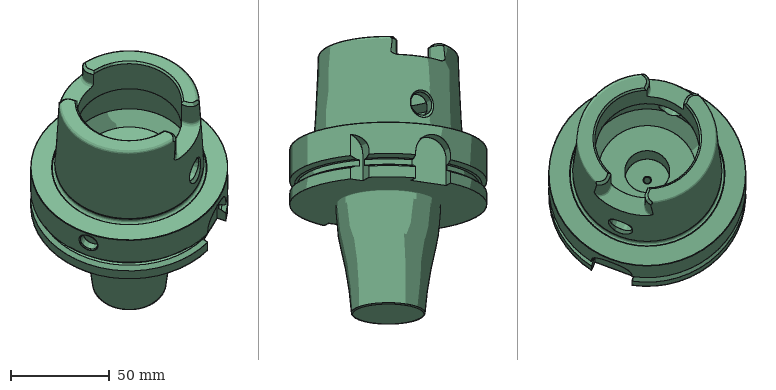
import cadquery as cq
import math

FAR = 60.0
CUTTER_OVERRUN = 1.0
SELECT_MARGIN = 0.1

TAPER_TOP = 50.0
GAUGE_RADIUS = 37.5
GAUGE_HEIGHT = 10.0
TAPER_SLOPE = 1 / 20
TAPER_FOOT = 2.9
RELIEF_DEPTH = 0.35
RELIEF_TOP = 2.0
RELIEF_FILLET = 1.5
GROOVE_OUTER_RADIUS = 39.4
GROOVE_DEPTH = 0.4
TAPER_TOP_FILLET = 2.0

BORE_RADIUS = 26.5
BORE_CHAMFER = 1.0
CLAMP_RADIUS = 31.5
CLAMP_TOP = 30.2
CLAMP_ANGLE = 60.0
CLAMP_BOTTOM = 9.7
BORE_FLOOR = 4.7
FLOOR_RECESS_RADIUS = 25.0
FLOOR_RECESS_BOTTOM = 3.2
PIPE_BORE_RADIUS = 11.4
PIPE_BORE_DEPTH = 12.0
COOLANT_RADIUS = 1.7
COOLANT_DEPTH = 10.0
COOLANT_CHAMFER = 0.4

CROSS_HOLE_RADIUS = 6.0
CROSS_HOLE_HEIGHT = 15.0
CROSS_MOUTH_RADIUS = 7.25

DRIVE_HALF_WIDTH = 10.0
DRIVE_FLOOR_LEFT = 40.0
DRIVE_FLOOR_RIGHT = 35.0
DRIVE_FLAT = 32.4
DRIVE_MOUTH_RADIUS = 5.2
DRIVE_FLOOR_FILLET = 2.0
DRIVE_EDGE_CHAMFER = 1.5

FLANGE_RADIUS = 50.0
FLANGE_BOTTOM = -29.0
FLANGE_CHAMFER = 0.2
VEE_CENTER = -19.85
VEE_FLANK_RADIUS = 47.5
VEE_FLANK_HALF = 1.75
VEE_FLOOR_RADIUS = 46.1
VEE_FLOOR_HALF = 1.5
VEE_MOUTH_HALF = 3.2

KEY_RADIUS_LEFT = 10.0
KEY_RADIUS_RIGHT = 11.0
KEY_FLAT = 44.0
NOTCH_RADIUS = 10.0
NOTCH_FLAT = 32.0
NOTCH_CENTER_Y = 41.4
ARCH_CENTER_Z = -15.0

CHIP_Z = -7.0
CHIP_RADIUS = 4.8
CHIP_CHAMFER = 0.5
CHIP_DEPTH = 4.6
CHIP_PILOT_RADIUS = 0.4
CHIP_PILOT_DEPTH = 1.0

NOSE_RADIUS = 26.5
NOSE_FILLET = 0.6
NOSE_SHOULDER = -32.8
NOSE_BEND = -51.2
NOSE_BOTTOM = -86.9
NOSE_CHAMFER = 0.6
NOSE_STEEP_ANGLE = 13.8
NOSE_END_ANGLE = 4.2


def taper_radius(z):
    return GAUGE_RADIUS - (z - GAUGE_HEIGHT) * TAPER_SLOPE


def arc_drop(height, start_angle, end_angle):
    """Radius lost along an arc of the given height between two lean angles."""
    return height * math.tan(math.radians((start_angle + end_angle) / 2))


def revolve(profile):
    return profile.close().revolve(360, (0, 0, 0), (0, 1, 0))


def make_body():
    """Solid of revolution with taper, flange and nose, its upper rim rounded."""
    foot_radius = taper_radius(TAPER_FOOT)
    relief_radius = foot_radius - RELIEF_DEPTH
    bend_radius = NOSE_RADIUS - arc_drop(NOSE_SHOULDER - NOSE_BEND, 0, NOSE_STEEP_ANGLE)
    tip_z = NOSE_BOTTOM + NOSE_CHAMFER
    tip_radius = bend_radius - arc_drop(NOSE_BEND - tip_z, NOSE_STEEP_ANGLE, NOSE_END_ANGLE)
    profile = (
        cq.Workplane("XZ")
        .moveTo(0, TAPER_TOP)
        .lineTo(taper_radius(TAPER_TOP), TAPER_TOP)
        .lineTo(foot_radius, TAPER_FOOT)
        .lineTo(relief_radius, RELIEF_TOP)
        .lineTo(relief_radius, RELIEF_FILLET - GROOVE_DEPTH)
        .tangentArcPoint((relief_radius + RELIEF_FILLET, -GROOVE_DEPTH), relative=False)
        .lineTo(GROOVE_OUTER_RADIUS, 0)
        .lineTo(FLANGE_RADIUS - FLANGE_CHAMFER, 0)
        .lineTo(FLANGE_RADIUS, -FLANGE_CHAMFER)
        .lineTo(FLANGE_RADIUS, VEE_CENTER + VEE_MOUTH_HALF)
        .lineTo(VEE_FLANK_RADIUS, VEE_CENTER + VEE_FLANK_HALF)
        .lineTo(VEE_FLOOR_RADIUS, VEE_CENTER + VEE_FLOOR_HALF)
        .lineTo(VEE_FLOOR_RADIUS, VEE_CENTER - VEE_FLOOR_HALF)
        .lineTo(VEE_FLANK_RADIUS, VEE_CENTER - VEE_FLANK_HALF)
        .lineTo(FLANGE_RADIUS, VEE_CENTER - VEE_MOUTH_HALF)
        .lineTo(FLANGE_RADIUS, FLANGE_BOTTOM)
        .lineTo(NOSE_RADIUS + NOSE_FILLET, FLANGE_BOTTOM)
        .radiusArc((NOSE_RADIUS, FLANGE_BOTTOM - NOSE_FILLET), -NOSE_FILLET)
        .lineTo(NOSE_RADIUS, NOSE_SHOULDER)
        .tangentArcPoint((bend_radius, NOSE_BEND), relative=False)
        .tangentArcPoint((tip_radius, tip_z), relative=False)
        .lineTo(tip_radius - NOSE_CHAMFER, NOSE_BOTTOM)
        .lineTo(0, NOSE_BOTTOM)
    )
    return revolve(profile).faces(">Z").edges().fillet(TAPER_TOP_FILLET)


def make_bore():
    """Cutter for the stepped bore with its clamping groove and coolant hole."""
    shoulder = (CLAMP_RADIUS - BORE_RADIUS) / math.tan(math.radians(CLAMP_ANGLE))
    pipe_bottom = FLOOR_RECESS_BOTTOM - PIPE_BORE_DEPTH
    coolant_bottom = pipe_bottom - COOLANT_DEPTH
    profile = (
        cq.Workplane("XZ")
        .moveTo(0, TAPER_TOP)
        .lineTo(BORE_RADIUS + BORE_CHAMFER, TAPER_TOP)
        .lineTo(BORE_RADIUS, TAPER_TOP - BORE_CHAMFER)
        .lineTo(BORE_RADIUS, CLAMP_TOP)
        .lineTo(CLAMP_RADIUS, CLAMP_TOP - shoulder)
        .lineTo(CLAMP_RADIUS, CLAMP_BOTTOM)
        .lineTo(BORE_RADIUS, BORE_FLOOR)
        .lineTo(FLOOR_RECESS_RADIUS, FLOOR_RECESS_BOTTOM)
        .lineTo(PIPE_BORE_RADIUS, FLOOR_RECESS_BOTTOM)
        .lineTo(PIPE_BORE_RADIUS, pipe_bottom)
        .lineTo(COOLANT_RADIUS + COOLANT_CHAMFER, pipe_bottom)
        .lineTo(COOLANT_RADIUS, pipe_bottom - COOLANT_CHAMFER)
        .lineTo(COOLANT_RADIUS, coolant_bottom)
        .lineTo(0, coolant_bottom)
    )
    return revolve(profile)


def wall_edges(z):
    """Selector for the edges at height z along the walls of the +X drive slot."""
    inner = CUTTER_OVERRUN
    reach = DRIVE_FLAT + SELECT_MARGIN
    width = DRIVE_HALF_WIDTH + 2 * DRIVE_MOUTH_RADIUS
    return cq.selectors.BoxSelector(
        (inner, -width, z - SELECT_MARGIN), (reach, width, z + SELECT_MARGIN)
    )


def drive_slot_outline(z):
    """Outline of the +X drive slot and of the flats beside its mouth, at height z."""
    mouth_x = DRIVE_FLAT - DRIVE_MOUTH_RADIUS
    corner_y = DRIVE_HALF_WIDTH + DRIVE_MOUTH_RADIUS
    return (
        cq.Workplane("XY", origin=(0, 0, z))
        .moveTo(0, -DRIVE_HALF_WIDTH)
        .lineTo(mouth_x, -DRIVE_HALF_WIDTH)
        .tangentArcPoint((DRIVE_FLAT, -corner_y), relative=False)
        .lineTo(DRIVE_FLAT, -FAR)
        .lineTo(FAR, -FAR)
        .lineTo(FAR, FAR)
        .lineTo(DRIVE_FLAT, FAR)
        .lineTo(DRIVE_FLAT, corner_y)
        .tangentArcPoint((mouth_x, DRIVE_HALF_WIDTH), relative=False)
        .lineTo(0, DRIVE_HALF_WIDTH)
        .close()
    )


def drive_slot(floor):
    """Cutter for the +X drive slot, filleted along its floor and flared along its top edges."""
    cutter = drive_slot_outline(floor).extrude(TAPER_TOP - floor)
    cutter = cutter.faces("<Z").edges(wall_edges(floor)).fillet(DRIVE_FLOOR_FILLET)
    flare = drive_slot_outline(TAPER_TOP - DRIVE_EDGE_CHAMFER).extrude(DRIVE_EDGE_CHAMFER, taper=-45)
    return cutter.union(flare)


def cross_hole():
    """Hole along X through both taper walls, with a 45 degree countersink at each mouth."""
    mouth_x = taper_radius(CROSS_HOLE_HEIGHT)
    throat_x = mouth_x - (CROSS_MOUTH_RADIUS - CROSS_HOLE_RADIUS)
    outer_x = mouth_x + CUTTER_OVERRUN
    outer_radius = CROSS_MOUTH_RADIUS + CUTTER_OVERRUN
    profile = (
        cq.Workplane("XY", origin=(0, 0, CROSS_HOLE_HEIGHT))
        .moveTo(-outer_x, 0)
        .lineTo(-outer_x, outer_radius)
        .lineTo(-throat_x, CROSS_HOLE_RADIUS)
        .lineTo(throat_x, CROSS_HOLE_RADIUS)
        .lineTo(outer_x, outer_radius)
        .lineTo(outer_x, 0)
    )
    return profile.close().revolve(360, (0, 0, 0), (1, 0, 0))


def arched_slot(center_y, flat, radius):
    """Cutter open to -X and to the flange underside, with a half-round upper end."""
    bottom = FLANGE_BOTTOM - CUTTER_OVERRUN
    return (
        cq.Workplane("YZ", origin=(-flat, 0, 0))
        .moveTo(center_y - radius, bottom)
        .lineTo(center_y - radius, ARCH_CENTER_Z)
        .threePointArc((center_y, ARCH_CENTER_Z + radius), (center_y + radius, ARCH_CENTER_Z))
        .lineTo(center_y + radius, bottom)
        .close()
        .extrude(-FAR)
    )


def chip_hole():
    """Cutter for the blind hole in the -Y side of the rim, with its chamfer and pilot."""
    mouth = math.sqrt(FLANGE_RADIUS**2 - CHIP_RADIUS**2)
    outer_y = -FLANGE_RADIUS - CUTTER_OVERRUN
    floor_y = -FLANGE_RADIUS + CHIP_DEPTH
    pilot_y = floor_y + CHIP_PILOT_DEPTH
    profile = (
        cq.Workplane("XY", origin=(0, 0, CHIP_Z))
        .moveTo(0, outer_y)
        .lineTo(CHIP_RADIUS + CHIP_CHAMFER, outer_y)
        .lineTo(CHIP_RADIUS + CHIP_CHAMFER, -mouth)
        .lineTo(CHIP_RADIUS, -mouth + CHIP_CHAMFER)
        .lineTo(CHIP_RADIUS, floor_y)
        .lineTo(CHIP_PILOT_RADIUS, floor_y)
        .lineTo(CHIP_PILOT_RADIUS, pilot_y)
        .lineTo(0, pilot_y)
    )
    return revolve(profile)


left_drive_slot = drive_slot(DRIVE_FLOOR_LEFT).mirror("YZ")
right_drive_slot = drive_slot(DRIVE_FLOOR_RIGHT)
result = make_body().cut(left_drive_slot).cut(right_drive_slot)
result = result.cut(make_bore()).cut(cross_hole()).cut(chip_hole())
result = result.cut(arched_slot(0, KEY_FLAT, KEY_RADIUS_LEFT))
result = result.cut(arched_slot(0, KEY_FLAT, KEY_RADIUS_RIGHT).mirror("YZ"))
result = result.cut(arched_slot(NOTCH_CENTER_Y, NOTCH_FLAT, NOTCH_RADIUS))